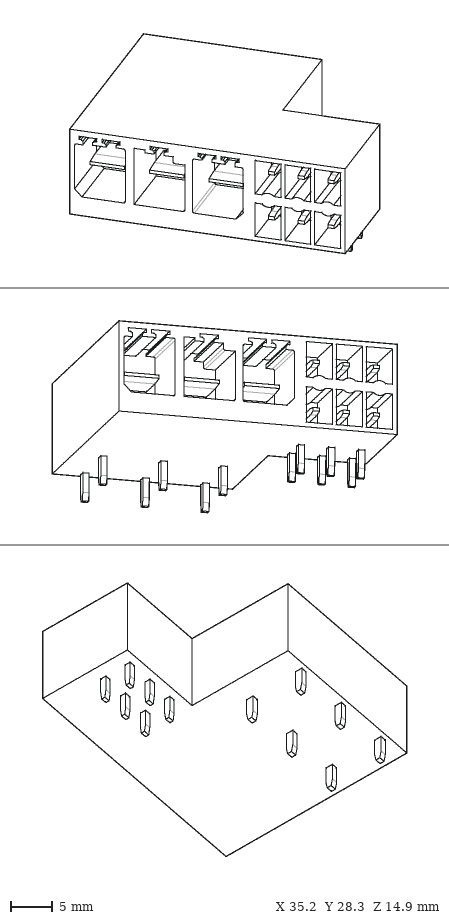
import cadquery as cq


HOUSING_WIDTH = 35.25
HOUSING_DEPTH = 28.3
HOUSING_HEIGHT = 11.42
POWER_WING_WIDTH = 22.85
SIGNAL_WING_DEPTH = 13.3

SIGNAL_PITCH = 3.8
POWER_PITCH = 2 * SIGNAL_PITCH
POWER_XS = [SIGNAL_PITCH + i * POWER_PITCH for i in range(3)]
SIGNAL_X_START = 25.4
SIGNAL_XS = [SIGNAL_X_START + i * SIGNAL_PITCH for i in range(3)]

STOCK = 0.8
TIP_THICKNESS = 0.42
TAIL_LENGTH = 3.5

BLADE_WIDTH = 4.4
BLADE_Z = 5.7
BLADE_TIP_Y = 3.05
BLADE_TIP_LENGTH = 1.85
FRONT_TAIL_Y = 19.57
POWER_TAIL_YS = [FRONT_TAIL_Y, FRONT_TAIL_Y + POWER_PITCH]
POWER_TAIL_WIDTH = 1.02
POWER_TAIL_END_WIDTH = 0.6
POWER_TAIL_TAPER = 1.02

SIGNAL_TIP_Y = 1.3
SIGNAL_TIP_LENGTH = 1.13
LOWER_PIN_Z = 2.7
UPPER_PIN_Z = 8.75
LOWER_TAIL_Y = 8.0
UPPER_TAIL_Y = LOWER_TAIL_Y + SIGNAL_PITCH
SIGNAL_ROWS = [(LOWER_PIN_Z, LOWER_TAIL_Y), (UPPER_PIN_Z, UPPER_TAIL_Y)]
SIGNAL_TAIL_END_WIDTH = 0.5
SIGNAL_TAIL_TAPER = 1.15

POWER_POCKET_LEFT = -3.17
POWER_POCKET_RIGHT = 3.3
POWER_POCKET_DEPTH = 8.45
POWER_FLOOR_Z = 2.55
KEY_CHAMFER = 0.95
SLOT_TOP_Z = 10.65
SLOT_SPACING = 2.95
RIB_Z = 9.7
LOW_SHOULDER_Z = 9.55
HIGH_SHOULDER_Z = 9.8
POCKET_FILLET = 0.25

SLOT_HEAD_WIDTH = 2.3
SLOT_STEM_WIDTH = 1.27
LIP_Z = 10.23
LIP_CHAMFER_WIDTH = 0.25
LIP_CHAMFER_HEIGHT = 0.18

MIDDLE_LEFT_Z = 10.1
MIDDLE_RIGHT_Z = 8.8
MIDDLE_STEP_X = 1.8

SIGNAL_POCKET_WIDTH = 3.3
SIGNAL_POCKET_HEIGHT = 4.48
SIGNAL_POCKET_DEPTH = 6.35
LOWER_POCKET_Z = 0.6
UPPER_POCKET_Z = 6.3
RIB_WIDTH = 1.55
RIB_HEIGHT = 0.3


def housing_block():
    """L-shaped block, deep behind the power pins and shallow behind the signal pins."""
    return (
        cq.Workplane("XY")
        .polyline(
            [
                (0, 0),
                (HOUSING_WIDTH, 0),
                (HOUSING_WIDTH, SIGNAL_WING_DEPTH),
                (POWER_WING_WIDTH, SIGNAL_WING_DEPTH),
                (POWER_WING_WIDTH, HOUSING_DEPTH),
                (0, HOUSING_DEPTH),
            ]
        )
        .close()
        .extrude(HOUSING_HEIGHT)
    )


def t_slot(center_x, left_z, right_z):
    """Outline points of one T-slot, left to right, between roof heights left_z and right_z."""
    head = SLOT_HEAD_WIDTH / 2
    stem = SLOT_STEM_WIDTH / 2
    lip = stem + LIP_CHAMFER_WIDTH
    left_half = [
        (-stem, left_z),
        (-stem, LIP_Z - LIP_CHAMFER_HEIGHT),
        (-lip, LIP_Z),
        (-head, LIP_Z),
        (-head, SLOT_TOP_Z),
    ]
    right_half = [
        (head, SLOT_TOP_Z),
        (head, LIP_Z),
        (lip, LIP_Z),
        (stem, LIP_Z - LIP_CHAMFER_HEIGHT),
        (stem, right_z),
    ]
    return [(center_x + x, z) for x, z in left_half + right_half]


def power_pocket(outline, rounded_corners):
    """Prism running back from the mating face, with the given outline corners filleted."""
    pocket = cq.Workplane("XZ").polyline(outline).close().extrude(-POWER_POCKET_DEPTH)
    for x, z in rounded_corners:
        corner_edge = cq.selectors.NearestToPointSelector((x, POWER_POCKET_DEPTH / 2, z))
        pocket = pocket.edges("|Y").edges(corner_edge).fillet(POCKET_FILLET)
    return pocket


def outer_power_pocket():
    """Pocket with two T-slots and a keying chamfer at its lower left corner."""
    floor_right = (POWER_POCKET_RIGHT, POWER_FLOOR_Z)
    roof_right = (POWER_POCKET_RIGHT, HIGH_SHOULDER_Z)
    roof_left = (POWER_POCKET_LEFT, LOW_SHOULDER_Z)
    left_slot = t_slot(-SLOT_SPACING / 2, LOW_SHOULDER_Z, RIB_Z)
    right_slot = t_slot(SLOT_SPACING / 2, RIB_Z, HIGH_SHOULDER_Z)
    outline = [
        (POWER_POCKET_LEFT, POWER_FLOOR_Z + KEY_CHAMFER),
        roof_left,
        *left_slot,
        *right_slot,
        roof_right,
        floor_right,
        (POWER_POCKET_LEFT + KEY_CHAMFER, POWER_FLOOR_Z),
    ]
    return power_pocket(outline, [roof_left, roof_right, floor_right])


def middle_power_pocket():
    """Pocket with one T-slot between two roof steps of different height."""
    floor_right = (POWER_POCKET_RIGHT, POWER_FLOOR_Z)
    step_foot = (MIDDLE_STEP_X, MIDDLE_RIGHT_Z)
    outline = [
        (POWER_POCKET_LEFT, POWER_FLOOR_Z),
        (POWER_POCKET_LEFT, MIDDLE_LEFT_Z),
        (-MIDDLE_STEP_X, MIDDLE_LEFT_Z),
        (-MIDDLE_STEP_X, RIB_Z),
        *t_slot(0, RIB_Z, RIB_Z),
        (MIDDLE_STEP_X, RIB_Z),
        step_foot,
        (POWER_POCKET_RIGHT, MIDDLE_RIGHT_Z),
        floor_right,
    ]
    return power_pocket(outline, [step_foot, floor_right])


def power_pockets():
    """The three pockets in place; the last is the mirror image of the first."""
    left_x, middle_x, right_x = POWER_XS
    return [
        outer_power_pocket().translate((left_x, 0, 0)),
        middle_power_pocket().translate((middle_x, 0, 0)),
        outer_power_pocket().mirror("YZ").translate((right_x, 0, 0)),
    ]


def signal_pocket(x, plain_z, ribbed_z):
    """Pocket between a plain wall and a wall with a rounded rib that bulges into it."""
    side = SIGNAL_POCKET_WIDTH / 2
    rib = RIB_WIDTH / 2
    inward = 1 if plain_z > ribbed_z else -1
    return (
        cq.Workplane("XZ")
        .moveTo(x - side, plain_z)
        .lineTo(x - side, ribbed_z)
        .lineTo(x - rib, ribbed_z)
        .threePointArc((x, ribbed_z + inward * RIB_HEIGHT), (x + rib, ribbed_z))
        .lineTo(x + side, ribbed_z)
        .lineTo(x + side, plain_z)
        .close()
        .extrude(-SIGNAL_POCKET_DEPTH)
    )


def signal_pockets():
    """Two rows of pockets whose ribs face each other across the wall between the rows."""
    pockets = []
    for x in SIGNAL_XS:
        lower_top_z = LOWER_POCKET_Z + SIGNAL_POCKET_HEIGHT
        upper_top_z = UPPER_POCKET_Z + SIGNAL_POCKET_HEIGHT
        pockets.append(signal_pocket(x, LOWER_POCKET_Z, lower_top_z))
        pockets.append(signal_pocket(x, upper_top_z, UPPER_POCKET_Z))
    return pockets


def side_prism(x, width, outline):
    """Prism of the given width along X, centred on x, from an outline in Y and Z."""
    return (
        cq.Workplane("YZ", origin=(x, 0, 0))
        .polyline(outline)
        .close()
        .extrude(width / 2, both=True)
    )


def contact(x, width, z, tip_y, tip_length, rear_y):
    """Horizontal bar whose front end is bevelled above and below."""
    half = STOCK / 2
    tip_half = TIP_THICKNESS / 2
    outline = [
        (tip_y, z - tip_half),
        (tip_y, z + tip_half),
        (tip_y + tip_length, z + half),
        (rear_y, z + half),
        (rear_y, z - half),
        (tip_y + tip_length, z - half),
    ]
    return side_prism(x, width, outline)


def tail(x, y, top_z, width, end_width, taper):
    """Vertical solder tail, tapered front and back towards its lower end."""
    half = width / 2
    end_half = end_width / 2
    outline = [
        (y - half, top_z),
        (y - half, taper - TAIL_LENGTH),
        (y - end_half, -TAIL_LENGTH),
        (y + end_half, -TAIL_LENGTH),
        (y + half, taper - TAIL_LENGTH),
        (y + half, top_z),
    ]
    return side_prism(x, STOCK, outline)


def power_pin(x):
    """Wide flat blade carried by two solder tails."""
    rear_y = POWER_TAIL_YS[-1] + POWER_TAIL_WIDTH / 2
    pin = contact(x, BLADE_WIDTH, BLADE_Z, BLADE_TIP_Y, BLADE_TIP_LENGTH, rear_y)
    for y in POWER_TAIL_YS:
        pin = pin.union(tail(x, y, BLADE_Z, POWER_TAIL_WIDTH, POWER_TAIL_END_WIDTH, POWER_TAIL_TAPER))
    return pin


def signal_pin(x, z, tail_y):
    """Square right-angle pin with one solder tail."""
    pin = contact(x, STOCK, z, SIGNAL_TIP_Y, SIGNAL_TIP_LENGTH, tail_y + STOCK / 2)
    return pin.union(tail(x, tail_y, z, STOCK, SIGNAL_TAIL_END_WIDTH, SIGNAL_TAIL_TAPER))


power_pins = [power_pin(x) for x in POWER_XS]
signal_pins = [signal_pin(x, z, tail_y) for x in SIGNAL_XS for z, tail_y in SIGNAL_ROWS]
pins = power_pins + signal_pins

housing = housing_block()
for cutter in power_pockets() + signal_pockets() + pins:
    housing = housing.cut(cutter)

result = cq.Compound.makeCompound([housing.val(), *[pin.val() for pin in pins]])